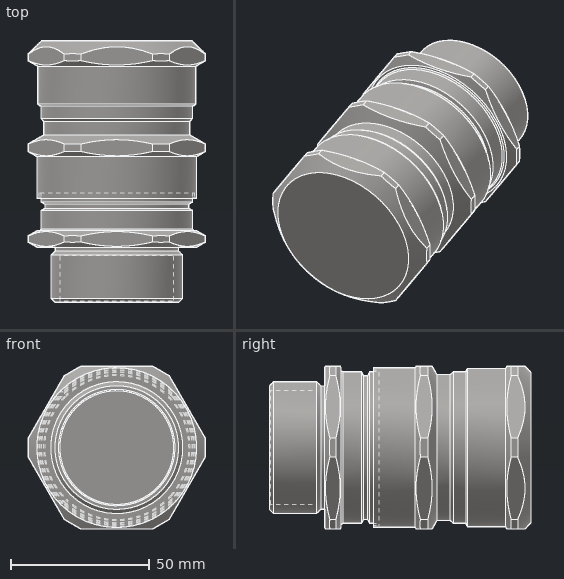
import cadquery as cq
import math


thread_dia = 47.8
thread_end_dia = 44.8
bore_dia = 41.2
bore_mouth_dia = 42.2
body_dia = 55.0
flare_dia = 55.9
groove_dia = 52.2
collar_dia = 57.9
collar_gap_dia = 56.4
neck_dia = 53.0
cap_dia = 57.4
cap_lip_dia = 55.9
cap_end_dia = 54.5

hex_across_flats = 59.0
hex_corner_flats = 64.13
bevel_angle = 30.0
hex_sides = 6
half_side_angle = 180 / hex_sides
hex_corner_offset = (hex_across_flats - hex_corner_flats * math.cos(math.radians(half_side_angle))) / (
    2 * math.sin(math.radians(half_side_angle))
)
hex_corner_dia = math.hypot(hex_corner_flats, 2 * hex_corner_offset)

thread_run_out = 18.65
entry_hex_front = 20.0
entry_hex_back = 26.0
groove_front = 33.35
groove_back = 36.35
collar_front = 37.7
body_hex_front = 52.8
body_hex_back = 60.7
neck_back = 65.5
cap_front = 71.25
cap_hex_front = 85.55
cap_bevel_start = 89.95
overall_length = 94.82

groove_wall_run = 0.75
shoulder_bevel = 1.2
cap_lip_length = 0.55
flare_length = 0.6
bore_depth = 17.0
collar_gap_depth = 2.0


def bevel_length(small_dia, large_dia):
    """Axial length of a bevel at the common angle between two diameters."""
    return (large_dia - small_dia) / 2 * math.tan(math.radians(bevel_angle))


def revolve(stations):
    """Solid of revolution about Y through (Y, diameter) stations."""
    outline = [(diameter / 2, y) for y, diameter in stations]
    outline = [(0, stations[0][0])] + outline + [(0, stations[-1][0])]
    return cq.Workplane("XY").polyline(outline).close().revolve(360, (0, 0), (0, 1))


def hex_prism(across_flats, turn, front, length):
    """Hexagonal prism along Y; with no turn its flats face +Z and -Z."""
    across_corners = across_flats / math.cos(math.radians(half_side_angle))
    prism = (
        cq.Workplane("XZ", origin=(0, front, 0))
        .polygon(hex_sides, across_corners)
        .extrude(-length)
    )
    return prism.rotate((0, 0, 0), (0, 1, 0), turn)


def hexagon(stations):
    """Hexagon with cut corners, trimmed to a turned profile of (Y, diameter) stations."""
    front = stations[0][0]
    length = stations[-1][0] - front
    sides = hex_prism(hex_across_flats, 0, front, length)
    corner_flats = hex_prism(hex_corner_flats, half_side_angle, front, length)
    return sides.intersect(corner_flats).intersect(revolve(stations))


def turned_body():
    """Everything round on the outside, including the ring gap under the collar's front rim."""
    thread_bevel = (thread_dia - thread_end_dia) / 2
    return revolve([
        (0, thread_end_dia),
        (thread_bevel, thread_dia),
        (thread_run_out - thread_bevel, thread_dia),
        (thread_run_out, thread_end_dia),
        (entry_hex_front, thread_end_dia),
        (entry_hex_front, flare_dia),
        (entry_hex_back, flare_dia),
        (entry_hex_back + flare_length, body_dia),
        (groove_front, body_dia),
        (groove_front + groove_wall_run, groove_dia),
        (groove_back - groove_wall_run, groove_dia),
        (groove_back, body_dia),
        (collar_front + collar_gap_depth, body_dia),
        (collar_front + collar_gap_depth, collar_gap_dia),
        (collar_front, collar_gap_dia),
        (collar_front, collar_dia),
        (body_hex_front, collar_dia),
        (body_hex_front, neck_dia),
        (neck_back, neck_dia),
        (neck_back + shoulder_bevel, body_dia),
        (cap_front, body_dia),
        (cap_front, cap_lip_dia),
        (cap_front + cap_lip_length, cap_dia),
        (cap_hex_front, cap_dia),
        (overall_length, cap_end_dia),
    ])


def entry_hex():
    """Hexagon behind the thread, bevelled alike on both faces."""
    bevel = bevel_length(collar_dia, hex_corner_dia)
    return hexagon([
        (entry_hex_front, collar_dia),
        (entry_hex_front + bevel, hex_corner_dia),
        (entry_hex_back - bevel, hex_corner_dia),
        (entry_hex_back, collar_dia),
    ])


def body_hex():
    """Hexagon behind the collar, bevelled down to the neck at its back."""
    return hexagon([
        (body_hex_front, collar_dia),
        (body_hex_front + bevel_length(collar_dia, hex_corner_dia), hex_corner_dia),
        (body_hex_back - bevel_length(neck_dia, hex_corner_dia), hex_corner_dia),
        (body_hex_back, neck_dia),
    ])


def cap_hex():
    """Hexagon at the far end, with a longer bevel down to the end face."""
    return hexagon([
        (cap_hex_front, cap_dia),
        (cap_hex_front + bevel_length(cap_dia, hex_corner_dia), hex_corner_dia),
        (cap_bevel_start, hex_corner_dia),
        (overall_length, cap_end_dia),
    ])


def bore():
    """Blind bore in the spigot, with a bevelled mouth."""
    mouth_bevel = (bore_mouth_dia - bore_dia) / 2
    return revolve([
        (0, bore_mouth_dia),
        (mouth_bevel, bore_dia),
        (bore_depth, bore_dia),
    ])


gland = turned_body()
for nut in (entry_hex(), body_hex(), cap_hex()):
    gland = gland.union(nut)

result = gland.cut(bore())